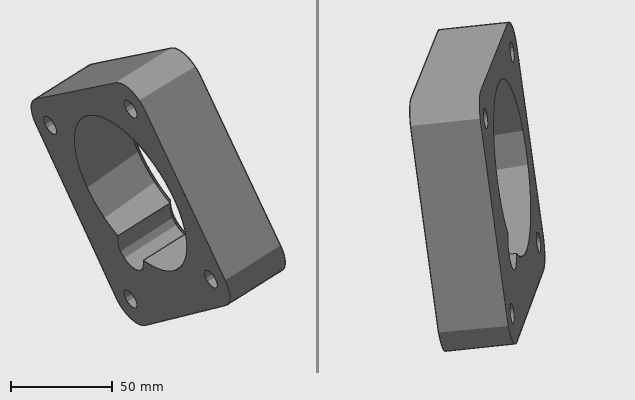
import cadquery as cq

width = 155.0
height = 177.5
thickness = 35.0

corner_radius = 14.9
bolt_hole_diameter = 10.1
side_corner_z = 1.5
side_corner_x = width / 2 - corner_radius
end_corner_z = height / 2 - corner_radius
corner_centers = [
    (side_corner_x, side_corner_z),
    (0, end_corner_z),
    (-side_corner_x, side_corner_z),
    (0, -end_corner_z),
]

bore_radius = 43.8
bore_z = 8.5
slot_radius = 10.0
slot_end_z = -37.8
opening_chamfer = 2.0


def extrude_through(sketch):
    """Extrude an XZ sketch across the full plate thickness, centred on Y = 0."""
    return sketch.extrude(thickness).translate((0, thickness / 2, 0))


def make_plate():
    """Diamond plate whose straight sides are tangent to its corner arcs."""
    diamond = cq.Workplane("XZ").polyline(corner_centers).close()
    return extrude_through(diamond.offset2D(corner_radius, "arc"))


def make_opening():
    """Main bore joined with the slot that runs down from it to a round end."""
    slot_length = bore_z - slot_end_z
    slot_middle_z = slot_end_z + slot_length / 2
    bore = extrude_through(cq.Workplane("XZ").center(0, bore_z).circle(bore_radius))
    slot = extrude_through(cq.Workplane("XZ").center(0, slot_middle_z).rect(2 * slot_radius, slot_length))
    round_end = extrude_through(cq.Workplane("XZ").center(0, slot_end_z).circle(slot_radius))
    return bore.union(slot).union(round_end).clean()


def make_bolt_holes():
    return extrude_through(cq.Workplane("XZ").pushPoints(corner_centers).circle(bolt_hole_diameter / 2))


def chamfer_opening(plate):
    """Chamfer the opening's rim on the +Y face, leaving the outer edge sharp."""
    rear_rim = plate.faces(">Y").val().innerWires()[0]
    return plate.newObject(rear_rim.Edges()).chamfer(opening_chamfer)


opened_plate = chamfer_opening(make_plate().cut(make_opening()))
result = opened_plate.cut(make_bolt_holes())